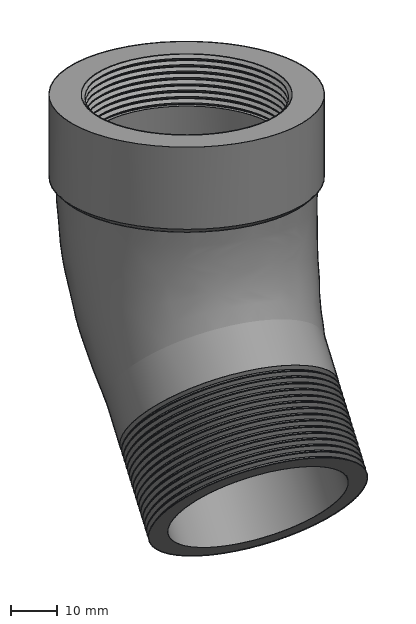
import cadquery as cq
import math

collar_diameter = 59.0
collar_height = 19.0
collar_chamfer = 1.2

bend_angle = 45
bend_start_depth = collar_height + collar_chamfer
bend_radius = 53
body_top_radius = 28.0
body_end_radius = 24.4
bore_top_radius = 21.7
bore_end_radius = 20.1
bend_steps = 6

thread_pitch = 1.5
thread_depth = 0.8
crest_flat = 0.2
male_radius = 24.4
male_groove_count = 15
male_length = male_groove_count * thread_pitch
female_radius = 22.6
female_groove_count = 8
female_length = female_groove_count * thread_pitch

leg_length = 32.8


def axis_plane(angle, distance=0):
    """Plane across the pipe axis, its normal pointing downstream after the given turn and straight run."""
    turn = math.radians(angle)
    origin = (
        bend_radius * (1 - math.cos(turn)) + distance * math.sin(turn),
        0,
        -bend_start_depth - bend_radius * math.sin(turn) - distance * math.cos(turn),
    )
    return cq.Plane(origin=origin, xDir=(0, 1, 0), normal=(math.sin(turn), 0, -math.cos(turn)))


def tapered_bend(start_radius, end_radius):
    """Curved pipe core that narrows slowly at first, lofted through circles across the axis."""
    circles = []
    for step in range(bend_steps + 1):
        fraction = step / bend_steps
        radius = end_radius + (start_radius - end_radius) * math.cos(math.pi / 2 * fraction)
        plane = axis_plane(bend_angle * fraction)
        circles.append(cq.Workplane(plane).circle(radius).wires().val())
    return cq.Workplane(cq.Solid.makeLoft(circles))


def cylinder_on(plane, radius, length):
    return cq.Workplane(plane).circle(radius).extrude(length)


def threaded_rod(crest_radius, groove_count):
    """Rod along +Z from the origin, its thread modelled as a row of V grooves with crests at both ends."""
    root_radius = crest_radius - thread_depth
    outline = cq.Workplane("XZ").lineTo(crest_radius, 0)
    for groove in range(groove_count):
        groove_start = groove * thread_pitch
        groove_end = groove_start + thread_pitch
        outline = (
            outline
            .lineTo(crest_radius, groove_start + crest_flat / 2)
            .lineTo(root_radius, groove_start + thread_pitch / 2)
            .lineTo(crest_radius, groove_end - crest_flat / 2)
        )
    rod_length = groove_count * thread_pitch
    outline = outline.lineTo(crest_radius, rod_length).lineTo(0, rod_length).close()
    return outline.revolve(360, (0, 0), (0, 1))


def place_on(plane, shape):
    return cq.Workplane(shape.val().moved(cq.Location(plane)))


top_plane = cq.Plane(origin=(0, 0, 0), xDir=(0, 1, 0), normal=(0, 0, -1))
female_end_plane = cq.Plane(origin=(0, 0, -female_length), xDir=(0, 1, 0), normal=(0, 0, -1))
leg_plane = axis_plane(bend_angle)
male_plane = axis_plane(bend_angle, leg_length - male_length)

collar = cylinder_on(top_plane, collar_diameter / 2, collar_height + collar_chamfer)
collar = collar.faces("<Z").chamfer(collar_chamfer)
outside = (
    collar
    .union(tapered_bend(body_top_radius, body_end_radius))
    .union(cylinder_on(leg_plane, body_end_radius, leg_length - male_length))
    .union(place_on(male_plane, threaded_rod(male_radius, male_groove_count)))
)

result = (
    outside
    .cut(place_on(top_plane, threaded_rod(female_radius, female_groove_count)))
    .cut(cylinder_on(female_end_plane, bore_top_radius, bend_start_depth - female_length))
    .cut(tapered_bend(bore_top_radius, bore_end_radius))
    .cut(cylinder_on(leg_plane, bore_end_radius, leg_length))
)